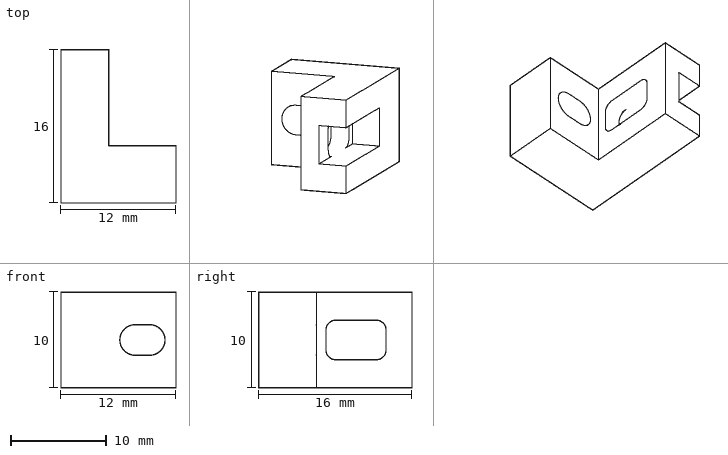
import cadquery as cq

width = 12.0
length = 16.0
height = 10.0
arm_thickness = height / 2
foot_depth = 6.0

foot_slot_length = 4.69
foot_slot_height = 3.17
foot_slot_x = (arm_thickness + width) / 2

channel_height = 4.1
channel_depth = 3.0

window_length = 6.24
window_start = 7.02
window_radius = 1.0

mid_height = height / 2


def box_at(x, y, z_size, x_start, y_start):
    """Box centred on mid height, starting at the given X and Y."""
    return cq.Workplane("XY").box(x, y, z_size, centered=(False, False, True)).translate(
        (x_start, y_start, mid_height)
    )


arm = box_at(arm_thickness, length, height, 0, 0)
foot = box_at(width, foot_depth, height, 0, 0)
body = arm.union(foot)

foot_slot = (
    cq.Workplane("XZ", origin=(foot_slot_x, 0, mid_height))
    .slot2D(foot_slot_length, foot_slot_height)
    .extrude(-foot_depth)
)

channel = box_at(channel_depth, length - foot_depth, channel_height, 0, foot_depth)

window = box_at(arm_thickness, window_length, channel_height, 0, window_start).edges("|X").fillet(window_radius)

result = body.cut(foot_slot).cut(channel).cut(window)